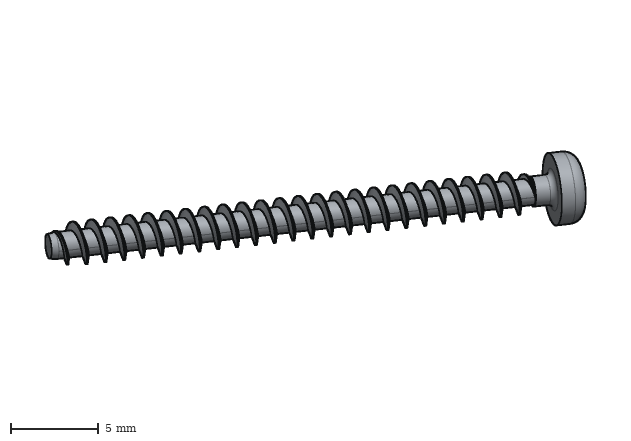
import cadquery as cq
import math


head_radius = 2.1
head_height = 1.6
head_rim_height = 0.8
head_top_radius = 1.5

shank_length = 30.0
neck_radius = 0.88
neck_fillet = 0.35
neck_length = 1.2
core_radius = 0.78
tip_radius = 0.72
tip_taper_length = 0.4

thread_radius = 1.27
pitch = 1.12
crest_width = 0.08
flank_angle = 18.0
root_radius = 0.6
end_crest_radius = 0.62
thread_y0 = -1.19
first_turn = -0.25
last_turn = 25.6
lead_in_turns = 1.25
run_out_turns = 1.25
thread_pieces = 26
samples_per_piece = 24


def head_and_shank():
    """Head, neck, core and tip turned in one piece."""
    dome_rise = head_height - head_rim_height
    dome_inset = head_radius - head_top_radius
    dome_radius = (dome_rise**2 + dome_inset**2) / (2 * dome_inset)
    half_sweep = math.asin(dome_rise / dome_radius) / 2
    dome_middle = (
        head_radius - dome_radius * (1 - math.cos(half_sweep)),
        head_rim_height + dome_radius * math.sin(half_sweep),
    )
    fillet_middle_offset = neck_fillet * (1 - math.sqrt(0.5))

    profile = (
        cq.Workplane("XY")
        .moveTo(0, head_height)
        .lineTo(head_top_radius, head_height)
        .threePointArc(dome_middle, (head_radius, head_rim_height))
        .lineTo(head_radius, 0)
        .lineTo(neck_radius + neck_fillet, 0)
        .threePointArc(
            (neck_radius + fillet_middle_offset, -fillet_middle_offset),
            (neck_radius, -neck_fillet),
        )
        .lineTo(neck_radius, -neck_length)
        .lineTo(core_radius, -neck_length)
        .lineTo(core_radius, tip_taper_length - shank_length)
        .lineTo(tip_radius, -shank_length)
        .lineTo(0, -shank_length)
        .close()
    )
    return profile.revolve(360, (0, 0, 0), (0, 1, 0))


def crest_radius(turn):
    """Radius of the crest, which rises out of the core and sinks back into it at the thread ends."""
    lead_in = (turn - first_turn) / lead_in_turns
    run_out = (last_turn - turn) / run_out_turns
    fraction = max(0.0, min(1.0, lead_in, run_out))
    eased = math.sin(fraction * math.pi / 2)
    return end_crest_radius + (thread_radius - end_crest_radius) * eased


def rail_point(turn, on_crest, side):
    """Point of a helical edge on the crest or the root; side is +1 towards the head, -1 the tip."""
    crest = crest_radius(turn)
    radius = crest if on_crest else root_radius
    half_width = crest_width / 2 + (crest - radius) * math.tan(math.radians(flank_angle))
    angle = 2 * math.pi * turn
    return cq.Vector(
        radius * math.cos(angle),
        thread_y0 - pitch * turn + side * half_width,
        radius * math.sin(angle),
    )


def thread_rails(start, end):
    """The four helical edges of a piece of thread, in order around its section."""
    turns = [start + (end - start) * i / samples_per_piece for i in range(samples_per_piece + 1)]
    corners = [(False, 1), (True, 1), (True, -1), (False, -1)]
    return [cq.Edge.makeSpline([rail_point(turn, *corner) for turn in turns]) for corner in corners]


def thread():
    """Solid ridge, its four helical sides made piece by piece and closed by a small face at each end."""
    piece_turns = (last_turn - first_turn) / thread_pieces
    pieces = []
    for i in range(thread_pieces):
        start = first_turn + i * piece_turns
        pieces.append(thread_rails(start, start + piece_turns))

    faces = []
    for rails in pieces:
        following = rails[1:] + rails[:1]
        faces += [cq.Face.makeRuledSurface(a, b) for a, b in zip(rails, following)]
    first_section = [rail.startPoint() for rail in pieces[0]]
    last_section = [rail.endPoint() for rail in pieces[-1]]
    for section in (first_section, last_section):
        faces.append(cq.Face.makeFromWires(cq.Wire.makePolygon(section, close=True)))
    return cq.Solid.makeSolid(cq.Shell.makeShell(faces))


result = head_and_shank().union(cq.Workplane(obj=thread()))